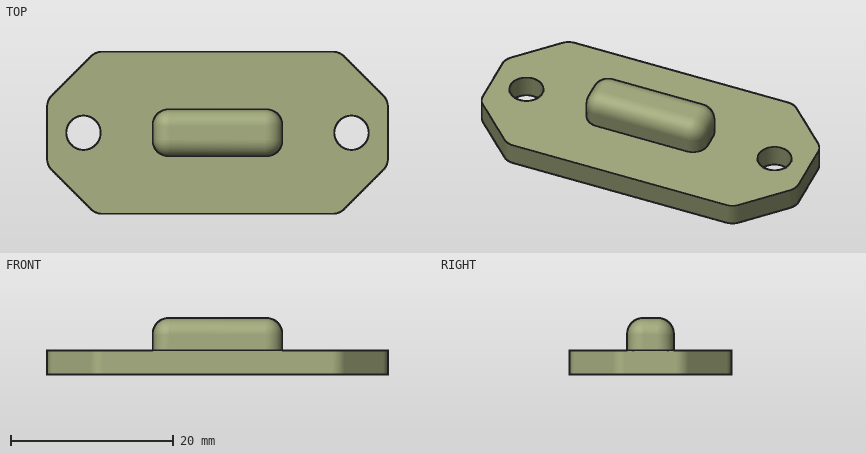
import cadquery as cq

plate_length = 42.0
plate_width = 20.0
plate_thickness = 3.0
corner_chamfer = 6.0
corner_rounding = 2.0

hole_diameter = 4.2
hole_spacing = 33.0

key_length = 16.0
key_width = 5.8
key_height = 4.0
key_rounding = 2.0


def make_plate():
    """Octagonal plate: chamfered corners whose eight vertical edges are rounded."""
    plate = cq.Workplane("XY").box(
        plate_length, plate_width, plate_thickness, centered=(True, True, False)
    )
    plate = plate.edges("|Z").chamfer(corner_chamfer)
    return plate.edges("|Z").fillet(corner_rounding)


def make_key():
    """Key with rounded vertical corners and an equally rounded top rim."""
    key = (
        cq.Workplane("XY")
        .workplane(offset=plate_thickness)
        .box(key_length, key_width, key_height, centered=(True, True, False))
    )
    return key.edges("|Z or >Z").fillet(key_rounding)


def make_mounting_holes():
    """Cutters for the two through holes, symmetric about the YZ plane."""
    return (
        cq.Workplane("XY")
        .pushPoints([(-hole_spacing / 2, 0), (hole_spacing / 2, 0)])
        .circle(hole_diameter / 2)
        .extrude(plate_thickness)
    )


result = make_plate().cut(make_mounting_holes()).union(make_key())